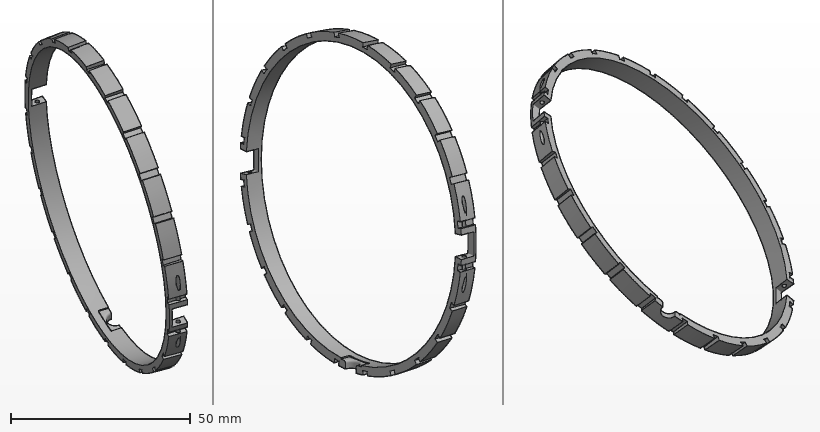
import cadquery as cq
import math

width = 5.5
back_radius = 98.2 / 2
front_radius = 97.6 / 2
bore_radius = 92.8 / 2
front_face = -width / 2
back_face = width / 2
cut_margin = 1.0

groove_count = 24
groove_width = 2.0
groove_floor_radius = 47.8
groove_pitch = 360 / groove_count

window_angles = (0, 180)
window_inner_radius = 46.1
window_length = 6.7
window_rail_width = 1.1
window_flare_angle = 5

pin_diameter = 1.2
pin_centre_radius = 47.5
pin_to_back_face = 2.3
pin_y = back_face - pin_to_back_face

recess_length = 8.8
recess_width = 3.1
recess_floor = -46.6

notch_radius = 2.4
mouth_rounding = recess_width - notch_radius


def make_band():
    profile = [
        (bore_radius, front_face),
        (front_radius, front_face),
        (back_radius, back_face),
        (bore_radius, back_face),
    ]
    return cq.Workplane("XY").polyline(profile).close().revolve(360, (0, 0, 0), (0, 1, 0))


def turn_about_ring_axis(cutter, angle):
    return cutter.rotate((0, 0, 0), (0, 1, 0), angle)


def cut_grooves(body):
    depth = back_radius - groove_floor_radius + cut_margin
    cutter = (
        cq.Workplane("YZ", origin=(groove_floor_radius, 0, 0))
        .rect(width + 2 * cut_margin, groove_width)
        .extrude(depth)
    )
    for index in range(groove_count):
        body = body.cut(turn_about_ring_axis(cutter, (index + 0.5) * groove_pitch))
    return body


def cut_windows(body):
    """The cutter is symmetric about the back face, so only its front half removes material."""
    cutter = (
        cq.Workplane("YZ", origin=(window_inner_radius, back_face, 0))
        .rect(2 * (width - window_rail_width), window_length)
        .extrude(back_radius - window_inner_radius + cut_margin, taper=-window_flare_angle)
    )
    for angle in window_angles:
        body = body.cut(turn_about_ring_axis(cutter, angle))
    return body


def cut_pin_holes(body):
    for side in (-1, 1):
        pin = cq.Workplane("XY").center(side * pin_centre_radius, pin_y).circle(pin_diameter / 2)
        body = body.cut(pin.extrude(back_radius, both=True))
    return body


def cut_recess(body):
    recess_y = back_face - recess_width / 2
    recess = cq.Workplane("XY", origin=(0, recess_y, recess_floor)).rect(recess_length, recess_width)
    return body.cut(recess.extrude(bore_radius / 2))


def cut_notch(body):
    """Bell-mouthed cutter around an axis along Z that lies in the back face."""
    mouth_radius = notch_radius + mouth_rounding
    throat_top = recess_floor - mouth_rounding
    throat_bottom = -back_radius - cut_margin
    arc_reach = mouth_rounding * math.sqrt(0.5)
    arc_middle = (mouth_radius - arc_reach, throat_top + arc_reach)
    cutter = (
        cq.Workplane("XZ", origin=(0, back_face, 0))
        .moveTo(0, throat_bottom)
        .lineTo(notch_radius, throat_bottom)
        .lineTo(notch_radius, throat_top)
        .threePointArc(arc_middle, (mouth_radius, recess_floor))
        .lineTo(0, recess_floor)
        .close()
        .revolve(360, (0, 0, 0), (0, 1, 0))
    )
    return body.cut(cutter)


band = make_band()
band = cut_grooves(band)
band = cut_windows(band)
band = cut_pin_holes(band)
band = cut_recess(band)
result = cut_notch(band)